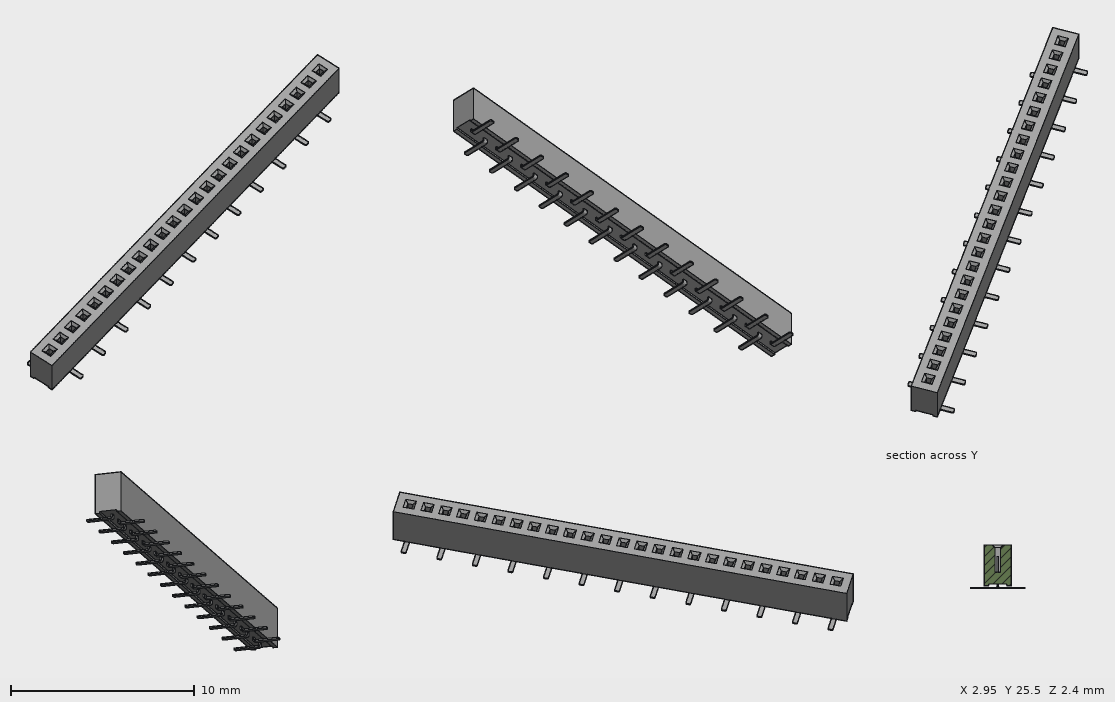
import cadquery as cq

contact_count = 25
pitch = 1.0
row_half_length = (contact_count - 1) * pitch / 2

housing_width = 1.5
housing_end_margin = 0.75
housing_length = 2 * (row_half_length + housing_end_margin)
housing_top = 2.4
housing_bottom = 0.15

channel_top = 0.25
channel_roof_width = 0.95
channel_mouth_width = 1.0

funnel_mouth = 0.6
funnel_throat = 0.3
funnel_depth = 0.15
socket_depth = 1.5

overall_width = 2.95
lead_width = 0.275
strip_thickness = 0.08
lead_tip_radius = 0.075
bend_inner_radius = 0.05
bend_outer_radius = bend_inner_radius + strip_thickness
stem_top = 1.75


def make_housing():
    """Rectangular bar with a shallow channel along its underside."""
    bar = cq.Workplane("XY", origin=(0, 0, housing_bottom)).box(
        housing_width, housing_length, housing_top - housing_bottom, centered=(True, True, False)
    )
    channel = (
        cq.Workplane("XZ")
        .moveTo(-channel_mouth_width / 2, housing_bottom)
        .lineTo(-channel_roof_width / 2, channel_top)
        .lineTo(channel_roof_width / 2, channel_top)
        .lineTo(channel_mouth_width / 2, housing_bottom)
        .close()
        .extrude(housing_length / 2, both=True)
    )
    return bar.cut(channel)


def make_socket(y):
    """Cutting body for one socket, centred at the given Y."""
    funnel = (
        cq.Workplane("XY", origin=(0, y, housing_top))
        .rect(funnel_mouth, funnel_mouth)
        .workplane(offset=-funnel_depth)
        .rect(funnel_throat, funnel_throat)
        .loft(ruled=True)
    )
    hole = (
        cq.Workplane("XY", origin=(0, y, housing_top - socket_depth))
        .rect(funnel_throat, funnel_throat)
        .extrude(socket_depth - funnel_depth)
    )
    return funnel.union(hole)


def make_contact(y, side):
    """L-shaped contact of bent strip whose lead points to -X (side = -1) or +X (side = 1)."""
    stem_outer = -side * strip_thickness / 2
    stem_inner = side * strip_thickness / 2
    lead_end = side * overall_width / 2
    tip_selector = "<X" if side < 0 else ">X"
    strip = (
        cq.Workplane("XZ", origin=(0, y, 0))
        .moveTo(lead_end, 0)
        .lineTo(stem_outer + side * bend_outer_radius, 0)
        .radiusArc((stem_outer, bend_outer_radius), side * bend_outer_radius)
        .lineTo(stem_outer, stem_top)
        .lineTo(stem_inner, stem_top)
        .lineTo(stem_inner, bend_outer_radius)
        .radiusArc((stem_outer + side * bend_outer_radius, strip_thickness), -side * bend_inner_radius)
        .lineTo(lead_end, strip_thickness)
        .close()
        .extrude(lead_width / 2, both=True)
    )
    return strip.edges("|Z and " + tip_selector).fillet(lead_tip_radius)


result = make_housing()
for index in range(contact_count):
    contact_y = row_half_length - index * pitch
    lead_side = -1 if index % 2 == 0 else 1
    result = result.cut(make_socket(contact_y))
    result = result.union(make_contact(contact_y, lead_side))